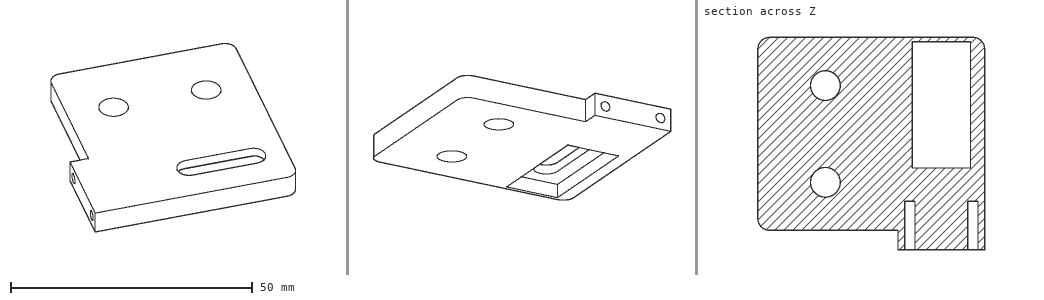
import cadquery as cq

width = 47
depth = 44.0
thickness = 5.0
corner_radius = 2.5

tab_width = 18.0
tab_length = 4.0

hole_diameter = 6.1
hole_from_left = 14.0
hole_from_back = 10.0
hole_spacing = 20.0

slot_width = 5.08
slot_length = 19.0
slot_from_right = 9.0
slot_from_back = 14.0
slot_lip = 2.0

pocket_width = 12.05
pocket_length = 26.05
pocket_depth = thickness - slot_lip

pin_diameter = 2.05
pin_from_right = 2.5
pin_spacing = 13.0
pin_depth = 10.0


def make_plate():
    """Rounded plate with a square tab at its front right corner."""
    body = (
        cq.Workplane("XY")
        .box(width, depth - tab_length, thickness, centered=False)
        .translate((0, tab_length, 0))
    )
    left_corners = body.edges("|Z and <X")
    back_right_corner = body.edges("|Z and >X and >Y")
    body = body.newObject(left_corners.vals() + back_right_corner.vals()).fillet(corner_radius)
    tab = (
        cq.Workplane("XY")
        .box(tab_width, 2 * tab_length, thickness, centered=False)
        .translate((width - tab_width, 0, 0))
    )
    return body.union(tab)


def make_round_holes():
    back_y = depth - hole_from_back
    centers = [(hole_from_left, back_y - i * hole_spacing) for i in range(2)]
    return cq.Workplane("XY").pushPoints(centers).circle(hole_diameter / 2).extrude(thickness)


def make_slot_and_pocket():
    """Slot through the plate, widened from below by a rectangular pocket."""
    center = cq.Workplane("XY").center(width - slot_from_right, depth - slot_from_back)
    slot = center.slot2D(slot_length, slot_width, 90).extrude(thickness)
    pocket = center.rect(pocket_width, pocket_length).extrude(pocket_depth)
    return slot.union(pocket)


def make_pin_holes():
    right_x = width - pin_from_right
    centers = [(right_x - i * pin_spacing, thickness / 2) for i in range(2)]
    return cq.Workplane("XZ").pushPoints(centers).circle(pin_diameter / 2).extrude(-pin_depth)


result = make_plate().cut(make_round_holes()).cut(make_slot_and_pocket()).cut(make_pin_holes())